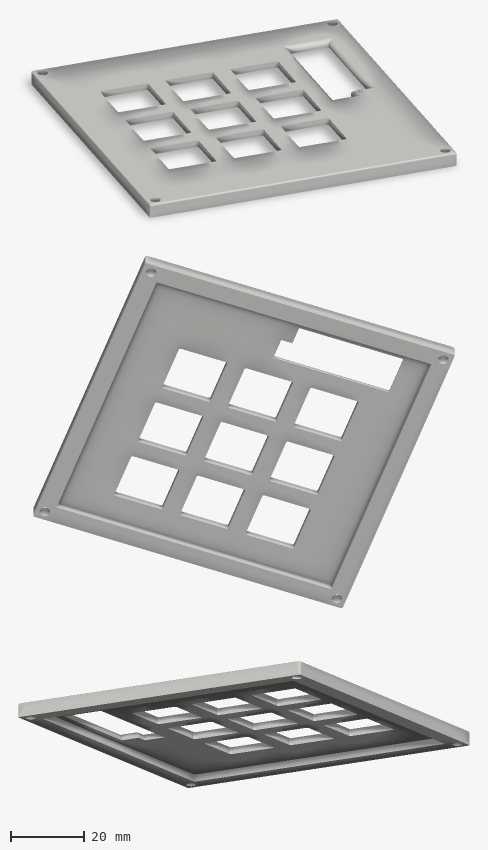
import cadquery as cq

SIDE = 90.0
HEIGHT = 4.0
PLATE_THICKNESS = 2.0
OUTER_ROUND = 0.5
PLATE_BOTTOM = HEIGHT - PLATE_THICKNESS

SCREW_DIAMETER = 2.9
SCREW_INSET = 2.5
RIM_WIDTH = 2 * SCREW_INSET

KEY_COUNT = 3
KEY_PITCH = 19.1
KEY_SIZE = 14.0
KEY_CORNER_RADIUS = 0.5
KEY_GRID_Y = -6.0

WINDOW_LEFT = -32.8
WINDOW_BOTTOM = 25.9
WINDOW_WIDTH = 33.7
WINDOW_HEIGHT = 11.7
WINDOW_STEP_X = 3.2
WINDOW_STEP_Y = 5.4
WINDOW_ROUND = 1.5


def tray():
    """Block with rounded edges, hollowed from below inside the rim."""
    block = cq.Workplane("XY").box(SIDE, SIDE, HEIGHT, centered=(True, True, False))
    block = block.edges("|Z or >Z").fillet(OUTER_ROUND)
    inner_side = SIDE - 2 * RIM_WIDTH
    hollow = cq.Workplane("XY").rect(inner_side, inner_side).extrude(PLATE_BOTTOM)
    return block.cut(hollow)


def screw_holes():
    spacing = SIDE - 2 * SCREW_INSET
    return (
        cq.Workplane("XY")
        .rect(spacing, spacing, forConstruction=True)
        .vertices()
        .circle(SCREW_DIAMETER / 2)
        .extrude(HEIGHT)
    )


def key_openings():
    return (
        cq.Workplane("XY")
        .center(0, KEY_GRID_Y)
        .rarray(KEY_PITCH, KEY_PITCH, KEY_COUNT, KEY_COUNT)
        .rect(KEY_SIZE, KEY_SIZE)
        .extrude(HEIGHT)
        .edges("|Z")
        .fillet(KEY_CORNER_RADIUS)
    )


def window_opening():
    right = WINDOW_LEFT + WINDOW_WIDTH
    top = WINDOW_BOTTOM + WINDOW_HEIGHT
    outline = [
        (WINDOW_LEFT, WINDOW_BOTTOM),
        (right, WINDOW_BOTTOM),
        (right, top - WINDOW_STEP_Y),
        (right - WINDOW_STEP_X, top - WINDOW_STEP_Y),
        (right - WINDOW_STEP_X, top),
        (WINDOW_LEFT, top),
    ]
    return cq.Workplane("XY").polyline(outline).close().extrude(HEIGHT)


def round_window_rim(body):
    """Round the top edge of the display window, flaring it toward the face."""
    margin = WINDOW_ROUND
    corner_low = (WINDOW_LEFT - margin, WINDOW_BOTTOM - margin, HEIGHT - margin)
    corner_high = (
        WINDOW_LEFT + WINDOW_WIDTH + margin,
        WINDOW_BOTTOM + WINDOW_HEIGHT + margin,
        HEIGHT + margin,
    )
    rim = cq.selectors.BoxSelector(corner_low, corner_high)
    return body.faces(">Z").edges(rim).fillet(WINDOW_ROUND)


body = tray().cut(window_opening())
body = round_window_rim(body)
result = body.cut(key_openings()).cut(screw_holes())